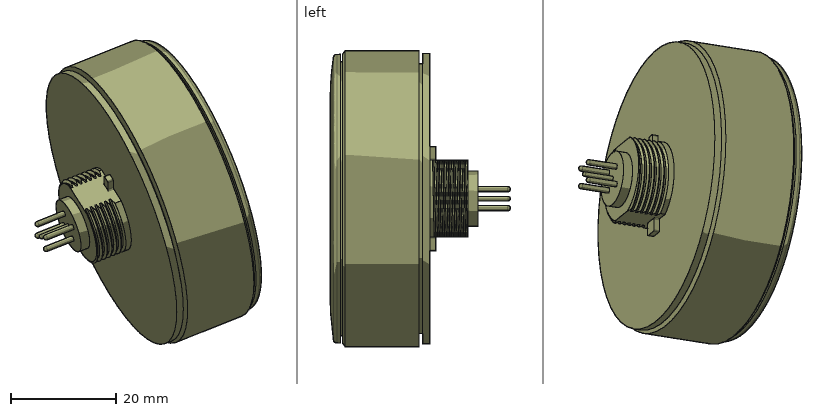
import cadquery as cq
import math


body_radius = 28.2
flange_radius = 27.65
flange_thickness = 1.4
flange_groove_radius = 25.7
flange_groove_width = 0.65
body_length = 14.1
shoulder_width = 0.5
shoulder_radius = 27.5
lip_groove_radius = 26.1
lip_groove_width = 0.33
lip_radius = 27.5
cap_flat_radius = 19.0
dome_radius = 52.0
dome_edge_round = 0.68
housing_length = 19.0

thread_radius = 8.42
thread_pitch = 1.0
thread_depth = 0.55
thread_flank_angle = 30.0
thread_start = -0.87
thread_crest_width = 0.05
connector_length = 7.28
connector_flat_height = 7.33
insert_radius = 5.3
insert_length = 1.87

tab_reach = 9.95
tab_thickness = 1.15
upper_tab_width = 1.6
lower_tab_width = 2.95
tab_round = 0.2

overall_length = 34.32
outer_pin_radius = 0.53
centre_pin_radius = 0.45
pin_offset = 1.8

insert_face = -(connector_length + insert_length)
pin_length = overall_length - housing_length + insert_face


def cylinder(radius, start, length):
    """Cylinder about the Y axis, growing from `start` toward -Y."""
    return cq.Workplane("XZ", origin=(0, start, 0)).circle(radius).extrude(length)


def make_housing():
    """Flange, grooved drum and domed lip, turned as one profile."""
    groove_end = flange_thickness + flange_groove_width
    shoulder_start = groove_end + body_length
    shoulder_end = shoulder_start + shoulder_width
    lip_start = shoulder_end + lip_groove_width

    dome_centre = housing_length - dome_radius

    def dome_height(radius):
        return dome_centre + math.sqrt(dome_radius**2 - (radius - cap_flat_radius)**2)

    dome_middle_radius = (cap_flat_radius + lip_radius) / 2

    profile = (
        cq.Workplane("XY")
        .lineTo(flange_radius, 0)
        .lineTo(flange_radius, flange_thickness)
        .lineTo(flange_groove_radius, flange_thickness)
        .lineTo(flange_groove_radius, groove_end)
        .lineTo(body_radius, groove_end)
        .lineTo(body_radius, shoulder_start)
        .lineTo(shoulder_radius, shoulder_end)
        .lineTo(lip_groove_radius, shoulder_end)
        .lineTo(lip_groove_radius, lip_start)
        .lineTo(lip_radius, lip_start)
        .lineTo(lip_radius, dome_height(lip_radius))
        .threePointArc(
            (dome_middle_radius, dome_height(dome_middle_radius)),
            (cap_flat_radius, housing_length),
        )
        .lineTo(0, housing_length)
        .close()
    )
    turned = profile.revolve(360, (0, 0, 0), (0, 1, 0))
    dome_edge = cq.selectors.NearestToPointSelector((0, dome_height(lip_radius), 0))
    return turned.edges("%CIRCLE").edges(dome_edge).fillet(dome_edge_round)


def make_groove_run():
    """Half turn of the V groove on the -X side, ending above the upper flat at Y = 0.

    The flats interrupt the thread, so each half turn starts and ends in the open.
    """
    overlap = 0.05
    flank_run = math.tan(math.radians(thread_flank_angle))
    mouth_half = (thread_pitch - thread_crest_width) / 2 + overlap * flank_run
    root_half = mouth_half - (thread_depth + overlap) * flank_run
    mouth_radius = thread_radius + overlap
    root_radius = thread_radius - thread_depth

    helix = cq.Wire.makeHelix(thread_pitch, thread_pitch / 2, thread_radius)
    section = (
        cq.Workplane("XZ")
        .moveTo(root_radius, -root_half)
        .lineTo(mouth_radius, -mouth_half)
        .lineTo(mouth_radius, mouth_half)
        .lineTo(root_radius, root_half)
        .close()
    )
    run = section.sweep(cq.Workplane(helix), isFrenet=True)

    return (
        run.rotate((0, 0, 0), (0, 0, 1), 90)
        .rotate((0, 0, 0), (1, 0, 0), -90)
        .translate((0, -thread_pitch / 2, 0))
    )


def make_connector():
    """Threaded stub with two flats and the round insert at its end."""
    flats = cq.Workplane("XY").box(
        2 * body_radius, 2 * connector_length, 2 * connector_flat_height
    )
    stub = cylinder(thread_radius, 0, connector_length).intersect(flats)

    groove_run = make_groove_run()
    half_turns = math.ceil(2 * (connector_length + thread_pitch + thread_start) / thread_pitch)
    for half_turn in range(half_turns):
        stub = stub.cut(
            groove_run.rotate((0, 0, 0), (0, 1, 0), 180 * half_turn).translate(
                (0, thread_start - half_turn * thread_pitch / 2, 0)
            )
        )
    return stub.union(cylinder(insert_radius, -connector_length, insert_length))


def make_tab(width, turn):
    """Tab standing on the flange face and one flat, with flared root and rounded tip.

    It is drawn on the upper flat and turned about Y by `turn` degrees.
    """
    half = width / 2
    root = connector_flat_height
    embed = tab_round
    tab = (
        cq.Workplane("XZ")
        .moveTo(-half - tab_round, root - embed)
        .lineTo(-half - tab_round, root)
        .radiusArc((-half, root + tab_round), -tab_round)
        .lineTo(-half, tab_reach - tab_round)
        .radiusArc((-half + tab_round, tab_reach), tab_round)
        .lineTo(half - tab_round, tab_reach)
        .radiusArc((half, tab_reach - tab_round), tab_round)
        .lineTo(half, root + tab_round)
        .radiusArc((half + tab_round, root), -tab_round)
        .lineTo(half + tab_round, root - embed)
        .close()
        .extrude(tab_thickness)
    )
    return tab.rotate((0, 0, 0), (0, 1, 0), turn)


def make_pin(x, z, radius):
    """Contact pin with a hemispherical tip, standing on the insert face."""
    tip_arc_middle = radius * math.sqrt(0.5)
    shank_end = insert_face - pin_length + radius
    pin = (
        cq.Workplane("XY")
        .moveTo(0, insert_face)
        .lineTo(radius, insert_face)
        .lineTo(radius, shank_end)
        .threePointArc(
            (tip_arc_middle, shank_end - tip_arc_middle),
            (0, shank_end - radius),
        )
        .close()
        .revolve(360, (0, 0, 0), (0, 1, 0))
    )
    return pin.translate((x, 0, z))


housing = (
    make_housing()
    .union(make_connector())
    .union(make_tab(upper_tab_width, 0))
    .union(make_tab(lower_tab_width, 180))
)

pins = [make_pin(0, 0, centre_pin_radius)]
for x_side in (-1, 1):
    for z_side in (-1, 1):
        pins.append(make_pin(x_side * pin_offset, z_side * pin_offset, outer_pin_radius))

result = cq.Compound.makeCompound([housing.val(), *[pin.val() for pin in pins]])